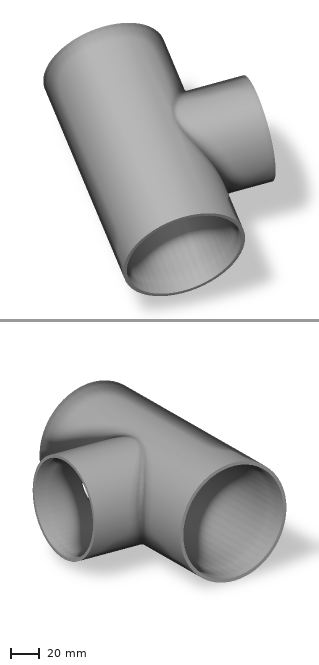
import cadquery as cq

run_length = 172.0
run_outer_diameter = 88.9
run_inner_diameter = 83.7
branch_outer_diameter = 76.1
branch_inner_diameter = 71.5
branch_reach = 83.0
outer_neck_radius = 3.0
inner_neck_radius = 3.0


def tee_body(run_diameter, branch_diameter, neck_radius):
    """Solid tee with its junction curve rounded by neck_radius."""
    run = cq.Workplane("YZ").circle(run_diameter / 2).extrude(run_length / 2, both=True)
    branch = cq.Workplane("XZ").circle(branch_diameter / 2).extrude(-branch_reach)
    junction_box = cq.selectors.BoxSelector(
        (-branch_diameter, 0, -branch_diameter),
        (branch_diameter, run_diameter / 2 + neck_radius, branch_diameter),
        boundingbox=True,
    )
    return run.union(branch).edges(junction_box).fillet(neck_radius)


outside = tee_body(run_outer_diameter, branch_outer_diameter, outer_neck_radius)
bore = tee_body(run_inner_diameter, branch_inner_diameter, inner_neck_radius)
result = outside.cut(bore)